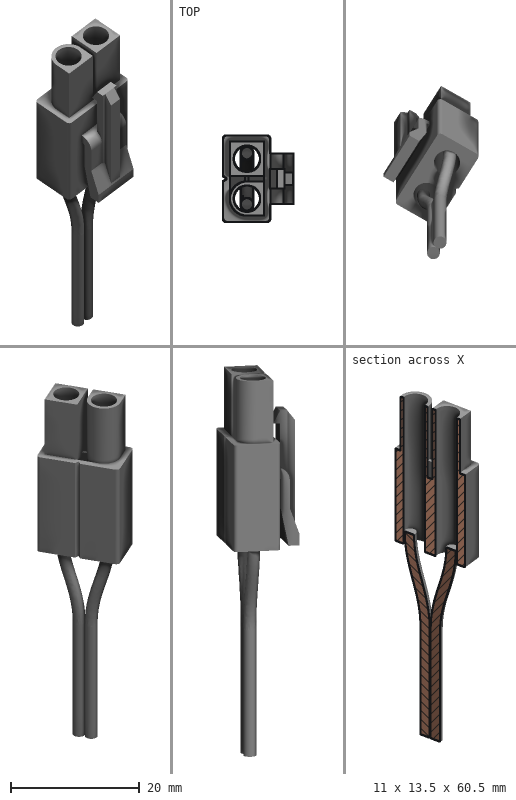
import cadquery as cq

TOTAL_HEIGHT = 60.5
TOWER_HEIGHT = 9.85
BODY_HEIGHT = 16.95
BODY_TOP = TOTAL_HEIGHT - TOWER_HEIGHT
BODY_BOTTOM = BODY_TOP - BODY_HEIGHT

BODY_BACK_X = -3.75
BODY_FRONT_X = 3.6
BODY_LENGTH_Y = 13.5
CORNER_RADIUS = 0.6
NOTCH_WIDTH = 0.85
NOTCH_DEPTH = 0.6

TOWER_SIZE = 5.3
TOWER_SPACING = 6.2
BORE_DIAMETER = 4.05
WEB_THICKNESS = 0.55
GAP_DEPTH = 3.0

ARM_WIDTH = 7.85
ARM_THICKNESS = 1.45
ARM_TOP = 46.1
ARM_INNER_X = 4.25
ARM_INNER_RADIUS = 0.5
ARM_FLARE_Z = 39.7
ARM_FOOT_INNER_X = 5.5
ARM_FOOT_OUTER_X = 7.25
ARM_FOOT_HEIGHT = 1.75
ARM_OUTER_X = ARM_INNER_X + ARM_THICKNESS

HOOK_WIDTH = 3.1
HOOK_TOP = 54.7
HOOK_HEIGHT = 2.0
HOOK_TIP_X = 3.55
PLATE_INNER_X = 4.65
PLATE_OUTER_X = 5.85
RIB_WIDTH = 2.0
RIB_OUTER_X = 7.15
RIB_SHOULDER_DROP = 1.65

WIRE_DIAMETER = 2.0
WIRE_STRAIGHT_LENGTH = 20.1
WIRE_INSERTION = 2.4
WIRE_END_Y = 4.0


def centred_extrusion(profile, width):
    """Extrude an XZ profile equally to both sides of the Y = 0 plane."""
    return profile.extrude(width / 2, both=True)


def make_block():
    depth = BODY_FRONT_X - BODY_BACK_X
    block = (
        cq.Workplane("XY")
        .box(depth, BODY_LENGTH_Y, BODY_HEIGHT, centered=(False, True, False))
        .edges("|Z")
        .fillet(CORNER_RADIUS)
        .translate((BODY_BACK_X, 0, BODY_BOTTOM))
    )
    notch = (
        cq.Workplane("XY", origin=(BODY_BACK_X, 0, BODY_BOTTOM))
        .moveTo(0, -NOTCH_WIDTH / 2)
        .lineTo(NOTCH_DEPTH, 0)
        .lineTo(0, NOTCH_WIDTH / 2)
        .close()
        .extrude(BODY_HEIGHT)
    )
    return block.cut(notch)


def make_square_tower():
    return (
        cq.Workplane("XY", origin=(0, TOWER_SPACING / 2, BODY_TOP))
        .rect(TOWER_SIZE, TOWER_SIZE)
        .extrude(TOWER_HEIGHT)
    )


def make_round_backed_prism(bottom, height):
    """Upright prism with the round-backed tower's outline: half round toward -X, square toward +X."""
    half = TOWER_SIZE / 2
    return (
        cq.Workplane("XY", origin=(0, -TOWER_SPACING / 2, bottom))
        .moveTo(0, -half)
        .lineTo(half, -half)
        .lineTo(half, half)
        .lineTo(0, half)
        .threePointArc((-half, 0), (0, -half))
        .close()
        .extrude(height)
    )


def make_tower_gap():
    """Pit continuing the gap between the towers into the block, parted by a thin web at X = 0."""
    gap_width = TOWER_SPACING - TOWER_SIZE
    pit_length = (gap_width + TOWER_SPACING) / 2
    pit_bottom = BODY_TOP - GAP_DEPTH
    pit = (
        cq.Workplane("XY", origin=(0, 0, pit_bottom))
        .center(0, (gap_width - pit_length) / 2)
        .rect(TOWER_SIZE, pit_length)
        .extrude(GAP_DEPTH)
    )
    web = (
        cq.Workplane("XY", origin=(0, 0, pit_bottom))
        .rect(WEB_THICKNESS, gap_width)
        .extrude(GAP_DEPTH)
    )
    return pit.cut(make_round_backed_prism(pit_bottom, GAP_DEPTH)).cut(web)


def make_bores():
    return (
        cq.Workplane("XY", origin=(0, 0, BODY_BOTTOM))
        .pushPoints([(0, -TOWER_SPACING / 2), (0, TOWER_SPACING / 2)])
        .circle(BORE_DIAMETER / 2)
        .extrude(BODY_HEIGHT + TOWER_HEIGHT)
    )


def make_latch_arm():
    outer_radius = ARM_INNER_RADIUS + ARM_THICKNESS
    bend_x = ARM_INNER_X - ARM_INNER_RADIUS
    bend_z = ARM_TOP - outer_radius
    profile = (
        cq.Workplane("XZ")
        .moveTo(BODY_FRONT_X, ARM_TOP)
        .lineTo(bend_x, ARM_TOP)
        .radiusArc((ARM_OUTER_X, bend_z), outer_radius)
        .lineTo(ARM_OUTER_X, ARM_FLARE_Z)
        .lineTo(ARM_FOOT_OUTER_X, BODY_BOTTOM + ARM_FOOT_HEIGHT)
        .lineTo(ARM_FOOT_OUTER_X, BODY_BOTTOM)
        .lineTo(ARM_FOOT_INNER_X, BODY_BOTTOM)
        .lineTo(ARM_INNER_X, ARM_FLARE_Z)
        .lineTo(ARM_INNER_X, bend_z)
        .radiusArc((bend_x, ARM_TOP - ARM_THICKNESS), -ARM_INNER_RADIUS)
        .lineTo(BODY_FRONT_X, ARM_TOP - ARM_THICKNESS)
        .close()
    )
    return centred_extrusion(profile, ARM_WIDTH)


def make_latch_hook():
    hook_bottom = HOOK_TOP - HOOK_HEIGHT
    profile = (
        cq.Workplane("XZ")
        .moveTo(PLATE_INNER_X, HOOK_TOP)
        .lineTo(PLATE_OUTER_X, HOOK_TOP)
        .lineTo(PLATE_OUTER_X, ARM_FLARE_Z)
        .lineTo(PLATE_INNER_X, ARM_FLARE_Z)
        .lineTo(PLATE_INNER_X, hook_bottom)
        .lineTo(HOOK_TIP_X, hook_bottom)
        .close()
    )
    return centred_extrusion(profile, HOOK_WIDTH)


def make_latch_rib():
    """Rib from the top of the hook plate down to the flared arm."""
    profile = (
        cq.Workplane("XZ")
        .moveTo(ARM_OUTER_X, HOOK_TOP)
        .lineTo(PLATE_OUTER_X, HOOK_TOP)
        .lineTo(RIB_OUTER_X, HOOK_TOP - RIB_SHOULDER_DROP)
        .lineTo(RIB_OUTER_X, BODY_BOTTOM + ARM_FOOT_HEIGHT)
        .lineTo(ARM_OUTER_X, ARM_FLARE_Z)
        .close()
    )
    return centred_extrusion(profile, RIB_WIDTH)


def make_housing():
    shell = make_block()
    shell = shell.union(make_square_tower())
    shell = shell.union(make_round_backed_prism(BODY_TOP, TOWER_HEIGHT))
    shell = shell.cut(make_tower_gap())
    shell = shell.cut(make_bores())
    latch = make_latch_arm().union(make_latch_hook()).union(make_latch_rib())
    return shell.union(latch).solids()


def make_wire(side):
    """One wire: straight lower run, then an S-bend into the bore on the given side of Y = 0."""
    straight_y = side * WIRE_DIAMETER / 2
    straight = (
        cq.Workplane("XY", origin=(0, straight_y, 0))
        .circle(WIRE_DIAMETER / 2)
        .extrude(WIRE_STRAIGHT_LENGTH)
    )
    bend_path = cq.Workplane("YZ").spline(
        [(straight_y, WIRE_STRAIGHT_LENGTH), (side * WIRE_END_Y, BODY_BOTTOM + WIRE_INSERTION)],
        tangents=[(0, 1), (0, 1)],
    )
    bend = (
        cq.Workplane("XY", origin=(0, straight_y, WIRE_STRAIGHT_LENGTH))
        .circle(WIRE_DIAMETER / 2)
        .sweep(bend_path)
    )
    return straight.union(bend).solids()


housing = make_housing()
wires = [make_wire(side) for side in (-1, 1)]

result = cq.Compound.makeCompound([housing.val(), *[wire.val() for wire in wires]])